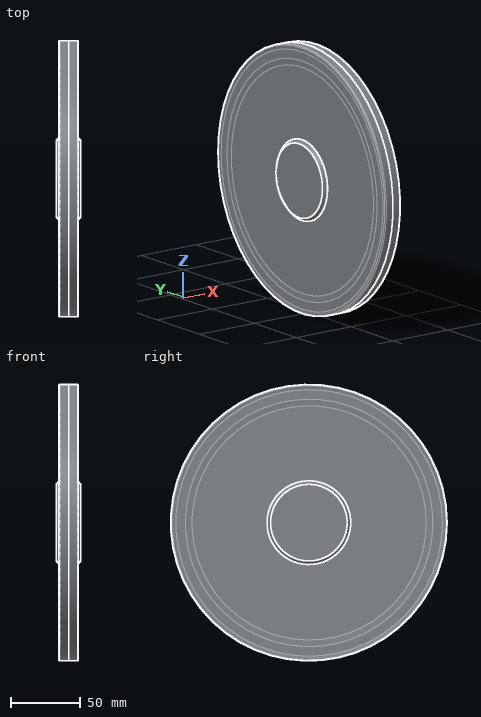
import cadquery as cq

WHEEL_DIAMETER = 200.0
WHEEL_WIDTH = 14.0
HUB_WIDTH = 18.0

EDGE_ROUND = 0.8

SWEEP_START_DIAMETER = 192.8
LIP_HEIGHT = 0.5

RECESS_OUTER_DIAMETER = 179.0
RECESS_INNER_DIAMETER = 169.5
RECESS_DEPTH = 0.3

HUB_DIAMETER = 60.5
HUB_CHAMFER = 2.5

wheel_radius = WHEEL_DIAMETER / 2
ridge_radius = wheel_radius - EDGE_ROUND
half_width = WHEEL_WIDTH / 2
half_hub_width = HUB_WIDTH / 2
hub_radius = HUB_DIAMETER / 2
sweep_start_radius = SWEEP_START_DIAMETER / 2
face = half_width - LIP_HEIGHT
recess_floor = face - RECESS_DEPTH

sweep_length = ridge_radius - sweep_start_radius
sweep_arc_radius = (sweep_length**2 + LIP_HEIGHT**2) / (2 * LIP_HEIGHT)


def make_wheel_half(side):
    """Revolve one half of the wheel about X; side is -1 or +1, the seam lies at X = 0."""
    half = (
        cq.Workplane("XY")
        .moveTo(0, 0)
        .lineTo(0, wheel_radius)
        .lineTo(side * (half_width - EDGE_ROUND), wheel_radius)
        .radiusArc((side * half_width, ridge_radius), side * EDGE_ROUND)
        .radiusArc((side * face, sweep_start_radius), -side * sweep_arc_radius)
        .lineTo(side * face, RECESS_OUTER_DIAMETER / 2)
        .lineTo(side * recess_floor, RECESS_INNER_DIAMETER / 2)
        .lineTo(side * recess_floor, hub_radius)
        .lineTo(side * (half_hub_width - HUB_CHAMFER), hub_radius)
        .lineTo(side * half_hub_width, hub_radius - HUB_CHAMFER)
        .lineTo(side * half_hub_width, 0)
        .close()
        .revolve(360, (0, 0, 0), (1, 0, 0))
    )
    return half.val()


wheel_halves = [make_wheel_half(side) for side in (-1, 1)]

result = cq.Compound.makeCompound(wheel_halves)